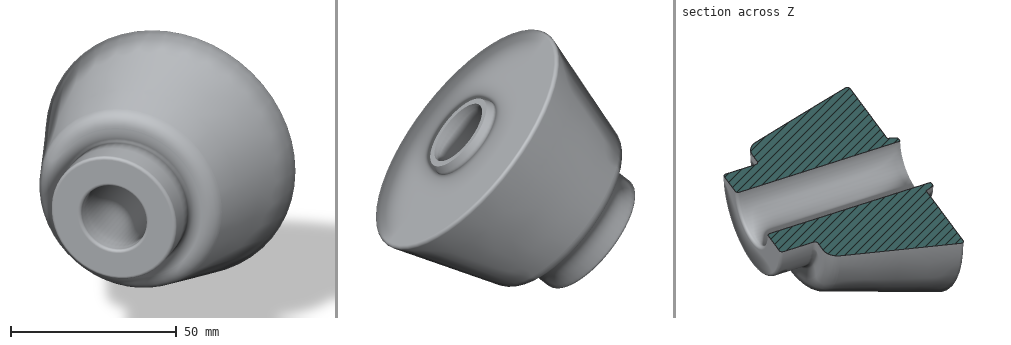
import cadquery as cq
import math

body_length = 40.0
hub_length = 12.0
boss_height = 3.0

rim_radius = 40.0
hub_radius = 20.0
bore_radius = 10.5
boss_base_radius = 13.5
boss_tip_radius = 12.4

shoulder_flat_radius = 24.5
shoulder_fillet = 5.0
edge_round = 1.0

hub_end = -(body_length + hub_length)
shoulder_y = -body_length

rim_center = (rim_radius - edge_round, -edge_round)
shoulder_center = (shoulder_flat_radius, shoulder_y + shoulder_fillet)
center_run = rim_center[0] - shoulder_center[0]
center_rise = rim_center[1] - shoulder_center[1]
center_distance = math.hypot(center_run, center_rise)
wall_normal_angle = (
    math.atan2(center_rise, center_run)
    - math.acos((shoulder_fillet - edge_round) / center_distance)
)


def on_circle(center, radius, angle):
    """Point on a circle of the profile, with the angle in radians from the radial direction."""
    return (center[0] + radius * math.cos(angle), center[1] + radius * math.sin(angle))


rim_tangent = on_circle(rim_center, edge_round, wall_normal_angle)
rim_middle = on_circle(rim_center, edge_round, (wall_normal_angle + math.pi / 2) / 2)
shoulder_tangent = on_circle(shoulder_center, shoulder_fillet, wall_normal_angle)
shoulder_middle = on_circle(shoulder_center, shoulder_fillet, (wall_normal_angle - math.pi / 2) / 2)

profile = (
    cq.Workplane("XY")
    .moveTo(bore_radius, boss_height)
    .lineTo(boss_tip_radius, boss_height)
    .lineTo(boss_base_radius, 0)
    .lineTo(rim_center[0], 0)
    .threePointArc(rim_middle, rim_tangent)
    .lineTo(*shoulder_tangent)
    .threePointArc(shoulder_middle, (shoulder_flat_radius, shoulder_y))
    .lineTo(hub_radius + edge_round, shoulder_y)
    .radiusArc((hub_radius, shoulder_y - edge_round), -edge_round)
    .lineTo(hub_radius, hub_end + edge_round)
    .radiusArc((hub_radius - edge_round, hub_end), edge_round)
    .lineTo(bore_radius + edge_round, hub_end)
    .radiusArc((bore_radius, hub_end + edge_round), edge_round)
    .close()
)

result = profile.revolve(360, (0, 0, 0), (0, 1, 0))